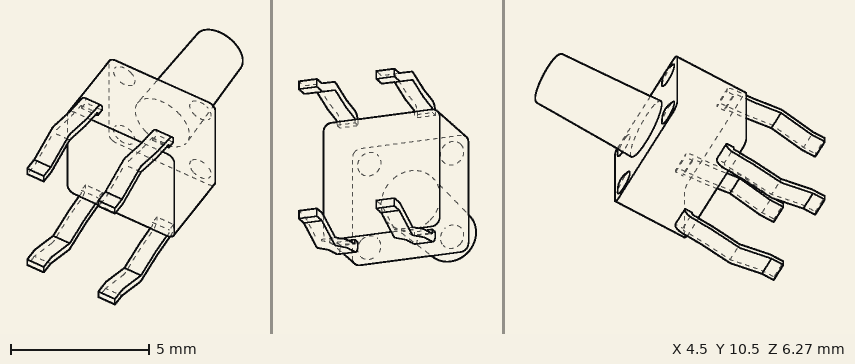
import cadquery as cq
import math

overall_length = 10.5

body_width = 4.5
body_depth = 2.9
body_corner_radius = 0.3

button_length = 4.1
button_base_radius = 1.14
button_tip_radius = 1.0
button_tip_fillet = 0.1

dome_radius = 0.45
dome_height = 0.14
dome_offset = 1.61

leg_width = 0.7
leg_thickness = 0.3
leg_offset = 1.5
leg_reach = overall_length - body_depth - button_length
leg_root_y = 0.6
leg_embed = 0.21
leg_rise = 0.13
root_bend_radius = 0.04
shoulder_length = 0.83
ramp_length = 1.11
descent_length = 1.31

upward_heading = 90
outward_heading = 180

shoulder_slope = 8.0
ramp_slope = 15.2
descent_slope = -21.2


def make_body():
    block = cq.Workplane("XZ").rect(body_width, body_width).extrude(-body_depth)
    return block.edges("|Y").fillet(body_corner_radius)


def make_button():
    """Cone frustum standing on the +Y face, with a rounded tip edge."""
    tip_y = body_depth + button_length
    profile = (
        cq.Workplane("XY")
        .moveTo(0, body_depth)
        .lineTo(button_base_radius, body_depth)
        .lineTo(button_tip_radius, tip_y)
        .lineTo(0, tip_y)
        .close()
    )
    button = profile.revolve(360, (0, 0, 0), (0, 1, 0))
    return button.faces(">Y").edges().fillet(button_tip_fillet)


def make_dome(x, z):
    """Spherical cap standing on the +Y face of the body."""
    sphere_radius = (dome_radius**2 + dome_height**2) / (2 * dome_height)
    centre_y = body_depth + dome_height - sphere_radius
    sphere = cq.Workplane("XY").sphere(sphere_radius).translate((x, centre_y, z))
    cap_space = (
        cq.Workplane("XZ", origin=(x, body_depth, z))
        .circle(sphere_radius)
        .extrude(-sphere_radius)
    )
    return sphere.intersect(cap_space)


def step(point, distance, heading):
    """Move a (Y, Z) point along a heading given in degrees from +Y towards +Z."""
    angle = math.radians(heading)
    return (point[0] + distance * math.cos(angle), point[1] + distance * math.sin(angle))


def strip_run(start, length, heading):
    """Straight piece of strip whose left edge begins at start; returns it and the left edge's end."""
    end = step(start, length, heading)
    across = heading - 90
    corners = [start, end, step(end, leg_thickness, across), step(start, leg_thickness, across)]
    return cq.Workplane("YZ").polyline(corners).close().extrude(leg_width / 2, both=True), end


def strip_bend(left_point, heading, new_heading, inner_radius=0):
    """Curved piece of strip turning to a new heading; returns it and the new left edge point."""
    turns_left = new_heading > heading
    side = -90 if turns_left else 90
    left_radius = inner_radius if turns_left else inner_radius + leg_thickness
    pivot = step(left_point, -left_radius, heading + side)

    def spoke(radius, direction):
        return step(pivot, radius, direction + side)

    inner_start = spoke(inner_radius, heading)
    outer_radius = inner_radius + leg_thickness
    middle = (heading + new_heading) / 2
    outline = (
        cq.Workplane("YZ")
        .moveTo(*inner_start)
        .lineTo(*spoke(outer_radius, heading))
        .threePointArc(spoke(outer_radius, middle), spoke(outer_radius, new_heading))
    )
    if inner_radius > 0:
        outline = outline.lineTo(*spoke(inner_radius, new_heading))
        outline = outline.threePointArc(spoke(inner_radius, middle), inner_start)
    bend = outline.close().extrude(leg_width / 2, both=True)
    return bend, spoke(left_radius, new_heading)


def make_leg():
    """Upper leg centred on X = 0: out of the +Z side, over, then down to a foot along -Y."""
    heading = upward_heading
    left_point = (leg_root_y - leg_thickness, body_width / 2 - leg_embed)
    leg, left_point = strip_run(left_point, leg_embed + leg_rise, heading)
    sloping_runs = [
        (shoulder_length, shoulder_slope, root_bend_radius),
        (ramp_length, ramp_slope, 0),
        (descent_length, descent_slope, 0),
    ]
    for length, slope, bend_radius in sloping_runs:
        bend, left_point = strip_bend(left_point, heading, outward_heading - slope, bend_radius)
        heading = outward_heading - slope
        run, left_point = strip_run(left_point, length, heading)
        leg = leg.union(bend).union(run)

    bend, left_point = strip_bend(left_point, heading, outward_heading)
    foot, _ = strip_run(left_point, leg_reach + left_point[0], outward_heading)
    return leg.union(bend).union(foot)


result = make_body().union(make_button())

for x_side in (-1, 1):
    for z_side in (-1, 1):
        result = result.union(make_dome(x_side * dome_offset, z_side * dome_offset))

upper_leg = make_leg()
lower_leg = upper_leg.mirror("XY")
for x_side in (-1, 1):
    for leg in (upper_leg, lower_leg):
        result = result.union(leg.translate((x_side * leg_offset, 0, 0)))